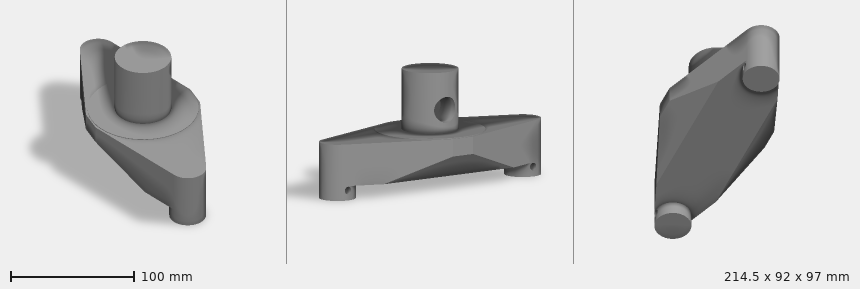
import cadquery as cq
import math

length = 214.5
width = 92.0
height = 97.0

plate_bottom = 12.0
plate_top = 46.3
disc_top = 47.0

flat_half_length = 10.0
bottom_chamfer = 20.0

post_diameter = 46.0
disc_diameter = 90.0
pin_diameter = 30.0
post_hole_diameter = 21.0
post_hole_height = 66.0
pin_hole_diameter = 6.2
pin_hole_height = 8.2

pin_radius = pin_diameter / 2
pin_offset = length / 2 - pin_radius


def vertical_cylinder(diameter, bottom, top, x=0):
    return cq.Workplane("XY", origin=(x, 0, bottom)).circle(diameter / 2).extrude(top - bottom)


def blind_hole(diameter, x, z, depth):
    """Cutter running from the XZ mid-plane toward +Y."""
    return cq.Workplane("XZ", origin=(x, 0, z)).circle(diameter / 2).extrude(-depth)


def diamond_plate():
    half_length = length / 2
    half_width = width / 2
    run = pin_offset - flat_half_length
    distance = math.hypot(run, half_width)
    tangent_angle = math.atan2(half_width, -run) - math.acos(pin_radius / distance)
    tangent_x = pin_offset + pin_radius * math.cos(tangent_angle)
    tangent_y = pin_radius * math.sin(tangent_angle)

    corners = [
        (-flat_half_length, half_width),
        (flat_half_length, half_width),
        (tangent_x, tangent_y),
        (tangent_x, -tangent_y),
        (flat_half_length, -half_width),
        (-flat_half_length, -half_width),
        (-tangent_x, -tangent_y),
        (-tangent_x, tangent_y),
    ]
    plate = (
        cq.Workplane("XY", origin=(0, 0, plate_bottom))
        .polyline(corners)
        .close()
        .extrude(plate_top - plate_bottom)
    )

    for side in (-1, 1):
        chamfer_cut = (
            cq.Workplane("YZ")
            .moveTo(side * half_width, plate_bottom)
            .lineTo(side * (half_width - bottom_chamfer), plate_bottom)
            .lineTo(side * half_width, plate_bottom + bottom_chamfer)
            .close()
            .extrude(half_length, both=True)
        )
        plate = plate.cut(chamfer_cut)
    return plate


result = diamond_plate()
for pin_x in (-pin_offset, pin_offset):
    result = result.union(vertical_cylinder(pin_diameter, 0, plate_top, pin_x))
result = result.clean()

result = result.union(vertical_cylinder(disc_diameter, plate_top, disc_top))
result = result.union(vertical_cylinder(post_diameter, plate_top, height))

result = result.cut(blind_hole(post_hole_diameter, 0, post_hole_height, post_diameter / 2))
for pin_x in (-pin_offset, pin_offset):
    result = result.cut(blind_hole(pin_hole_diameter, pin_x, pin_hole_height, pin_radius))